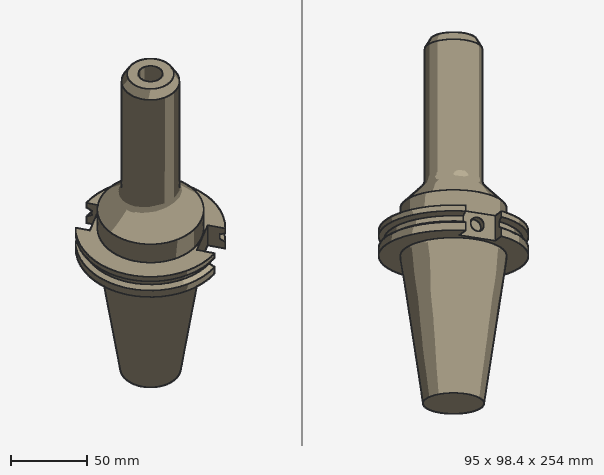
import cadquery as cq
import math

INCH = 25.4

taper_ratio = 7 / 24
gauge_radius = 2.75 * INCH / 2
taper_length = 4.0 * INCH
taper_small_radius = gauge_radius - taper_length * taper_ratio / 2

flange_radius = 3.875 * INCH / 2
flange_bottom = taper_length + 0.060 * INCH
flange_top = taper_length + 0.75 * INCH

groove_center = taper_length + 0.4375 * INCH
groove_core_radius = 45.6
groove_core_half_width = 1.85
groove_flank_angle = math.radians(30)
groove_flank_width = (flange_radius - groove_core_radius) * math.tan(groove_flank_angle)
groove_half_width = groove_core_half_width + groove_flank_width

collar_top = flange_top + 0.625 * INCH
shank_radius = 1.5 * INCH / 2
cone_tip = collar_top + gauge_radius - shank_radius
blend_radius = 0.375 * INCH
blend_angle = math.radians(45)
blend_top = cone_tip + blend_radius * math.tan(blend_angle / 2)
blend_center_radius = shank_radius + blend_radius
overall_length = 10.0 * INCH
chamfer_height = 0.25 * INCH
chamfer_angle = math.radians(30)
chamfer_width = chamfer_height * math.tan(chamfer_angle)

bore_diameter = 0.625 * INCH
bore_depth = 50.0

slot_width = 1.020 * INCH
slot_floor_minus_x = 37.7
slot_floor_plus_x = 35.3

slot_hole_diameter = 0.375 * INCH
slot_hole_depth = 0.2 * INCH


def blend_point(angle):
    """Point (radius, height) on the blend arc, at an angle measured down from its top."""
    radius = blend_center_radius - blend_radius * math.cos(angle)
    return (radius, blend_top - blend_radius * math.sin(angle))


def make_body():
    """Holder revolved about Z, with the groove around its flange."""
    half_profile = (
        cq.Workplane("XZ")
        .lineTo(taper_small_radius, 0)
        .lineTo(gauge_radius, taper_length)
        .lineTo(gauge_radius, flange_bottom)
        .lineTo(flange_radius, flange_bottom)
        .lineTo(flange_radius, groove_center - groove_half_width)
        .lineTo(groove_core_radius, groove_center - groove_core_half_width)
        .lineTo(groove_core_radius, groove_center + groove_core_half_width)
        .lineTo(flange_radius, groove_center + groove_half_width)
        .lineTo(flange_radius, flange_top)
        .lineTo(gauge_radius, flange_top)
        .lineTo(gauge_radius, collar_top)
        .lineTo(*blend_point(blend_angle))
        .threePointArc(blend_point(blend_angle / 2), blend_point(0))
        .lineTo(shank_radius, overall_length - chamfer_height)
        .lineTo(shank_radius - chamfer_width, overall_length)
        .lineTo(0, overall_length)
        .close()
    )
    return half_profile.revolve(360, (0, 0, 0), (0, 1, 0))


def make_bore():
    """Blind bore going down from the end of the shank."""
    return (
        cq.Workplane("XY")
        .workplane(offset=overall_length - bore_depth)
        .circle(bore_diameter / 2)
        .extrude(bore_depth)
    )


def make_drive_slot(side, floor_distance):
    """Slot through the flange height; side is -1 for -X and +1 for +X."""
    slot_length = flange_radius - floor_distance
    return (
        cq.Workplane("XY")
        .workplane(offset=flange_bottom)
        .center(side * (floor_distance + slot_length / 2), 0)
        .rect(slot_length, slot_width)
        .extrude(flange_top - flange_bottom)
    )


def make_slot_hole():
    """Radial blind hole in the -X slot floor, level with the groove."""
    return (
        cq.Workplane("YZ")
        .workplane(offset=-slot_floor_minus_x)
        .center(0, groove_center)
        .circle(slot_hole_diameter / 2)
        .extrude(slot_hole_depth)
    )


result = (
    make_body()
    .cut(make_bore())
    .cut(make_drive_slot(-1, slot_floor_minus_x))
    .cut(make_drive_slot(1, slot_floor_plus_x))
    .cut(make_slot_hole())
)